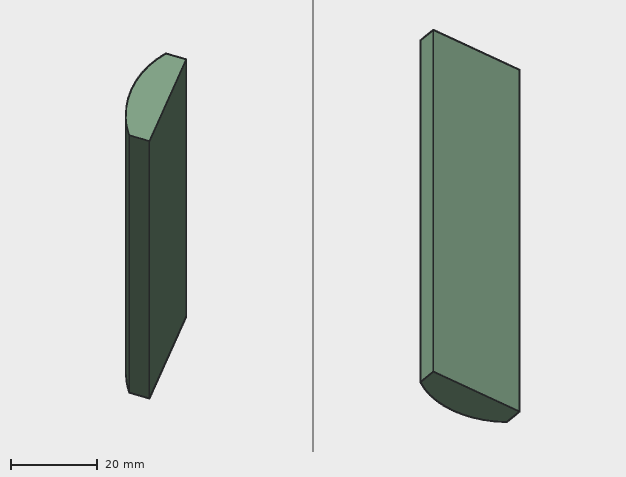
import cadquery as cq

length = 100.0
width = 25.0
thickness = 9.0
edge_thickness = 5.0

back_x = thickness / 2
crown_x = back_x - thickness
edge_x = back_x - edge_thickness
half_width = width / 2

result = (
    cq.Workplane("XY")
    .workplane(offset=-length / 2)
    .moveTo(back_x, -half_width)
    .lineTo(back_x, half_width)
    .lineTo(edge_x, half_width)
    .threePointArc((crown_x, 0), (edge_x, -half_width))
    .close()
    .extrude(length)
)